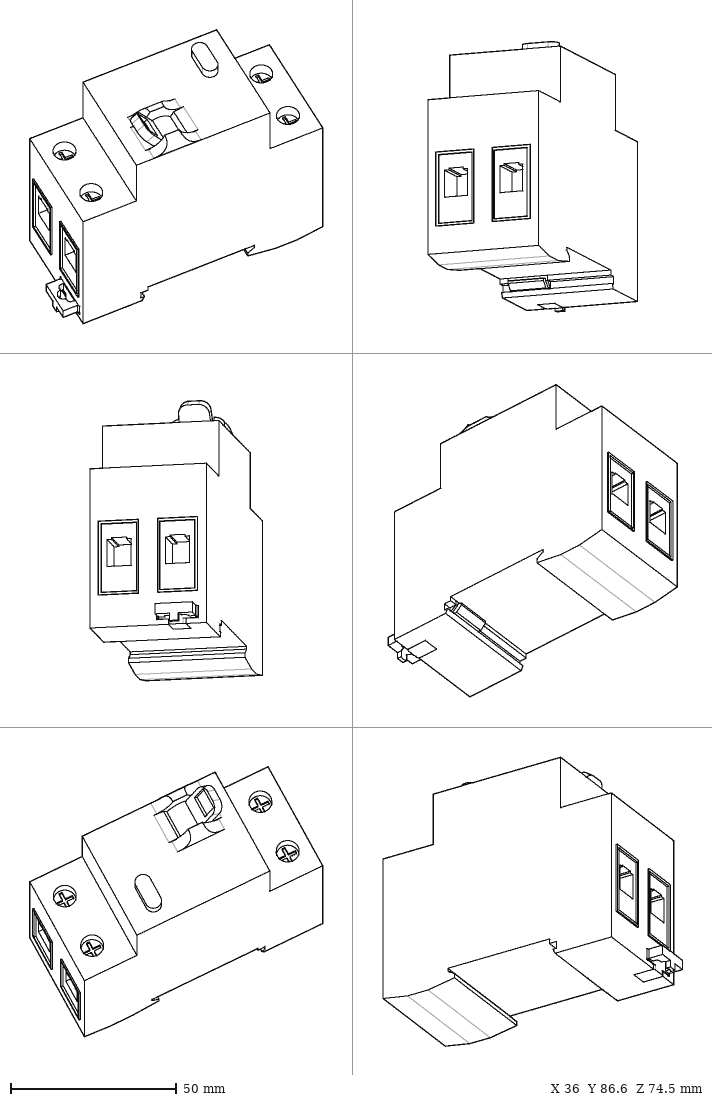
import cadquery as cq
import math

housing_width = 36.0
housing_length = 81.1
total_length = 86.6
total_height = 74.5
shoulder_z = 49.4
deck_z = 66.6
deck_front_y = 18.0
deck_length = 45.2
pole_x = housing_width / 4
overlap = 0.9

rail_z = 5.45
rail_front_y = 22.0
rail_back_y = 58.0
foot_front_y = 20.0
notch_y = 19.6
notch_bottom_z = 1.6
notch_top_z = 3.9
heel_z = 1.6
heel_lip_y = 55.7
heel_lip_z = 2.95
heel_flat_y = (65.0, 72.3)
heel_step_z = 4.6

plate_width = 12.3
plate_center_x = 9.2
plate_z = (10.05, 32.9)
plate_rise = 0.4
panel_width = 10.9
panel_z = (10.8, 32.0)
panel_depth = 0.7
port_width = 7.45
port_z = (18.9, 27.2)
port_depth = 10.4
port_tab_width = 4.6
port_tab_height = 0.5

screw_diameter = 6.9
screw_inset = 7.3
screw_depth = 4.0
cross_length = 5.6
cross_width = 0.95
cross_depth = 0.9

button_center = (-8.05, 54.2)
button_length = 11.7
button_width = 4.9
button_height = 3.1

toggle_y = 31.95
toggle_x = 9.1
lug_width = 17.7
lug_height = 3.7
lug_half_base = 8.0
lug_half_top = 2.4
window_width = 10.0
window_half_length = 8.9
ramp_end = 5.6
ramp_drop = 0.6
barrel_radius = 5.6
barrel_y = 32.2
barrel_z = 60.5
wall_foot_angle = 41.0
lever_width = 9.6
lever_thickness = 3.0
lever_tilt = 35.0
lever_corner = 3.1
lever_gap_width = 6.9
lever_gap_length = 5.2
lever_gap_depth = 1.1
lever_gap_margin = 1.0

clip_x = pole_x
clip_width = 11.5
clip_bottom_z = 2.25
clip_front_y = housing_length + plate_rise - total_length
channel_width = 12.9
channel_bottom_z = 1.65
slot_width = 5.45
slot_depth = 6.9
core_start_y = -0.3
core_chamfer = 0.6
foot_round = 0.9
tongue_top_z = 2.2
hook_tip_y = 23.55
hook_tip_z = 4.25
hook_top_y = 22.95
hook_top_z = 4.5
hook_root_y = 19.8
leg_width = 2.6
leg_thickness = 1.6
eye_width = 7.4
eye_front_y = -2.2
eye_corner = 1.0
eye_nose_radius = 1.8
eye_nose_y = -2.2


def block(x_range, y_range, z_range):
    """Axis-aligned box between three pairs of limits."""
    size = [high - low for low, high in (x_range, y_range, z_range)]
    corner = (x_range[0], y_range[0], z_range[0])
    return cq.Workplane("XY").box(*size, centered=False).translate(corner)


def around(center, width):
    """Limits of a span of the given width about a centre."""
    return (center - width / 2, center + width / 2)


def side_extrusion(points, center_x, width):
    """Extrude a closed (Y, Z) outline along X, centred on center_x."""
    start = center_x - width / 2
    return cq.Workplane("YZ", origin=(start, 0, 0)).polyline(points).close().extrude(width)


def housing_block():
    deck_back_y = deck_front_y + deck_length
    outline = [
        (0, 0),
        (0, shoulder_z),
        (deck_front_y, shoulder_z),
        (deck_front_y, deck_z),
        (deck_back_y, deck_z),
        (deck_back_y, shoulder_z),
        (housing_length, shoulder_z),
        (housing_length, heel_z),
        (heel_flat_y[1], 0),
        (heel_flat_y[0], 0),
        (heel_lip_y, heel_z),
        (heel_lip_y, heel_lip_z),
        (rail_back_y, heel_step_z),
        (rail_back_y, rail_z),
        (rail_front_y, rail_z),
        (rail_front_y, notch_top_z),
        (notch_y, notch_top_z),
        (notch_y, notch_bottom_z),
        (foot_front_y + notch_bottom_z / 2, notch_bottom_z),
        (foot_front_y, 0),
    ]
    return side_extrusion(outline, 0, housing_width)


def add_terminal(body, side):
    """Framed plate with a recessed panel and a stepped port, on the front face."""
    center_x = side * pole_x
    plate = block(around(side * plate_center_x, plate_width), (-plate_rise, overlap), plate_z)
    panel_y = panel_depth - plate_rise
    panel = block(around(center_x, panel_width), (-plate_rise, panel_y), panel_z)
    port_y = (-plate_rise, port_depth)
    port = block(around(center_x, port_width), port_y, port_z)
    tab_z = (port_z[1], port_z[1] + port_tab_height)
    tab = block(around(center_x, port_tab_width), port_y, tab_z)
    return body.union(plate).cut(panel).cut(port).cut(tab)


def add_terminals(body):
    """Terminals on the front face and, turned about, on the back face."""
    for _ in range(2):
        for side in (-1, 1):
            body = add_terminal(body, side)
        body = body.rotate((0, housing_length / 2, 0), (0, housing_length / 2, 1), 180)
    return body


def cut_screws(body):
    """Screw wells in both shoulders, each with a cross recess in its floor."""
    floor_z = shoulder_z - screw_depth
    cross_z = (floor_z - cross_depth, floor_z)
    for x in (-pole_x, pole_x):
        for y in (screw_inset, housing_length - screw_inset):
            well = cq.Workplane("XY", origin=(x, y, floor_z)).circle(screw_diameter / 2)
            body = body.cut(well.extrude(screw_depth))
            body = body.cut(block(around(x, cross_length), around(y, cross_width), cross_z))
            body = body.cut(block(around(x, cross_width), around(y, cross_length), cross_z))
    return body


def test_button():
    plane = cq.Workplane("XY", origin=(*button_center, deck_z))
    return plane.slot2D(button_length, button_width).extrude(button_height)


def toggle_lugs():
    """Mound with concave front and back flanks and convex ends."""
    top_z = deck_z + lug_height
    flank = lug_half_base - lug_half_top
    radius = (flank**2 + lug_height**2) / (2 * lug_height)
    half_angle = math.asin(flank / radius) / 2
    mid_run = lug_half_base - radius * math.sin(half_angle)
    mid_z = deck_z + radius * (1 - math.cos(half_angle))
    left_x = toggle_x - lug_width / 2
    mound = (
        cq.Workplane("YZ", origin=(left_x, 0, 0))
        .moveTo(toggle_y - lug_half_base, deck_z)
        .threePointArc((toggle_y - mid_run, mid_z), (toggle_y - lug_half_top, top_z))
        .lineTo(toggle_y + lug_half_top, top_z)
        .threePointArc((toggle_y + mid_run, mid_z), (toggle_y + lug_half_base, deck_z))
        .close()
        .extrude(lug_width)
    )
    envelope = block(
        around(toggle_x, lug_width),
        around(toggle_y, 2 * lug_half_base),
        (deck_z - lug_height, top_z),
    )
    return mound.intersect(envelope.edges("|Y and >Z").fillet(lug_height))


def toggle_window():
    """Opening around the barrel: shallow ramps, then steep walls down to the barrel."""
    top_z = deck_z + lug_height
    ramp_z = deck_z - ramp_drop
    foot_angle = math.radians(wall_foot_angle)
    foot_run = barrel_radius * math.cos(foot_angle)
    foot_z = barrel_z + barrel_radius * math.sin(foot_angle)
    outline = [
        (toggle_y - window_half_length, top_z),
        (toggle_y - window_half_length, deck_z),
        (toggle_y - ramp_end, ramp_z),
        (barrel_y - foot_run, foot_z),
        (barrel_y + foot_run, foot_z),
        (toggle_y + ramp_end, ramp_z),
        (toggle_y + window_half_length, deck_z),
        (toggle_y + window_half_length, top_z),
    ]
    return side_extrusion(outline, toggle_x, window_width)


def barrel():
    plane = cq.Workplane("YZ", origin=(toggle_x - window_width / 2, barrel_y, barrel_z))
    return plane.circle(barrel_radius).extrude(window_width)


def lever():
    """Round-cornered lever, modelled upright on the barrel axis and then tilted."""
    tilt = math.radians(lever_tilt)
    half_thickness = lever_thickness / 2
    reach = (total_height - barrel_z - half_thickness * math.sin(tilt)) / math.cos(tilt)
    handle = block(around(toggle_x, lever_width), around(0, lever_thickness), (0, reach))
    handle = handle.edges("|Y and >Z").fillet(lever_corner)
    recess_top = reach - lever_gap_margin
    recess = block(
        around(toggle_x, lever_gap_width),
        (half_thickness - lever_gap_depth, half_thickness),
        (recess_top - lever_gap_length, recess_top),
    )
    handle = handle.cut(recess)
    return handle.rotate((0, 0, 0), (1, 0, 0), lever_tilt).translate((0, barrel_y, barrel_z))


def clip_channel():
    """T-shaped passage from the front face to the rail recess."""
    channel_y = (-overlap, rail_front_y)
    channel = block(around(clip_x, channel_width), channel_y, (channel_bottom_z, rail_z))
    slot = block(around(clip_x, slot_width), (-overlap, slot_depth), (0, channel_bottom_z))
    return channel.union(slot)


def make_housing():
    body = add_terminals(housing_block())
    body = cut_screws(body)
    body = body.union(test_button())
    body = body.union(toggle_lugs()).cut(toggle_window())
    body = body.union(barrel()).union(lever())
    return body.cut(clip_channel())


def clip_eye():
    """Opening through the front of the clip, with a round nose toward the front."""
    wide = block(around(clip_x, eye_width), (eye_front_y, core_start_y), (0, rail_z))
    wide = wide.edges("|Z and <Y").fillet(eye_corner)
    nose = cq.Workplane("XY", origin=(clip_x, eye_nose_y, 0)).circle(eye_nose_radius)
    return wide.union(nose.extrude(rail_z))


def clip_core():
    """Rear of the clip: fills the channel above the tongue, ending on the slope of the hook."""
    outline = [
        (core_start_y, tongue_top_z),
        (hook_root_y, tongue_top_z),
        (rail_front_y, notch_top_z),
        (rail_front_y, rail_z),
        (core_start_y, rail_z),
    ]
    core = side_extrusion(outline, clip_x, channel_width)
    return core.edges("|Z and <Y").chamfer(core_chamfer)


def clip_tongue():
    """Flat tongue on the channel floor, rising at 45 degrees into the hook."""
    outline = [
        (core_start_y, channel_bottom_z),
        (foot_front_y + channel_bottom_z, channel_bottom_z),
        (hook_tip_y, hook_tip_y - foot_front_y),
        (hook_tip_y, hook_tip_z),
        (hook_top_y, hook_top_z),
        (rail_front_y, hook_top_z),
        (rail_front_y, notch_top_z),
        (hook_root_y, tongue_top_z),
        (core_start_y, tongue_top_z),
    ]
    return side_extrusion(outline, clip_x, clip_width)


def clip_foot():
    """Block under the tongue that fills the narrow slot, rounded at its front edges."""
    foot_y = (core_start_y, slot_depth)
    foot = block(around(clip_x, slot_width), foot_y, (0, channel_bottom_z))
    return foot.edges("|Z and <Y").fillet(foot_round)


def make_clip():
    front_y = (clip_front_y, core_start_y)
    front = block(around(clip_x, clip_width), front_y, (clip_bottom_z, rail_z))
    leg_y = (clip_front_y, clip_front_y + leg_thickness)
    leg = block(around(clip_x, leg_width), leg_y, (0, clip_bottom_z))
    rear = clip_core().union(clip_tongue()).union(clip_foot())
    return rear.union(front).union(leg).cut(clip_eye())


housing = make_housing()
clip = make_clip()
result = cq.Compound.makeCompound([housing.val(), clip.val()])